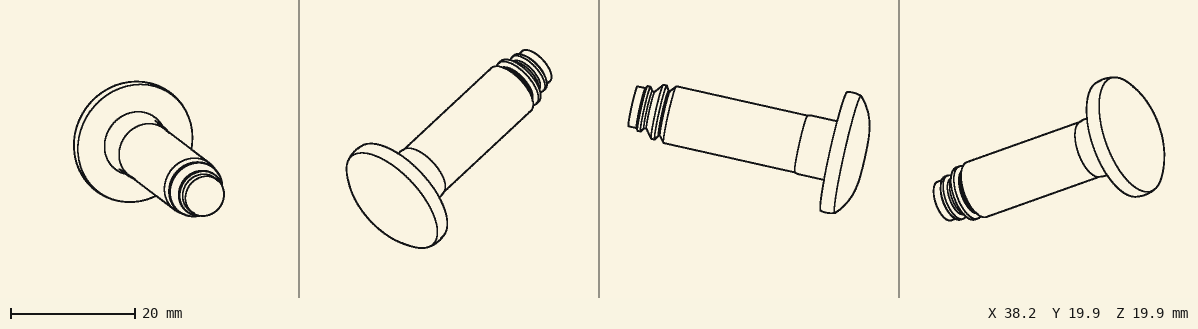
import cadquery as cq

length = 38.15
head_diameter = 19.88
head_height = 4.9
crown_diameter = 7.15
dome_height = 2.55
dome_edge_diameter = 19.38
dome_mid = (0.88, 7.32)
rim_mid_x = 3.75
rim_back_diameter = 19.65

collar_diameter = 9.73
fillet_diameter = 10.53
fillet_end = 5.65
fillet_mid = (5.23, 4.95)
collar_end = 9.6
shank_diameter = 9.42
shank_start = 10.3
collar_round_mid = (10.0, 4.8)

shank_end = 32.0
groove_1_diameter = 7.45
groove_1_start = 32.8
groove_1_end = 33.08
ring_1_diameter = 8.95
ring_1_start = 33.55
ring_1_end = 34.1
groove_2_diameter = 6.18
groove_2_start = 35.2
groove_2_end = 35.65
ring_2_diameter = 7.45
ring_2_start = 36.05
ring_2_end = 36.55
tip_diameter = 6.65
tip_start = 36.8

profile = (
    cq.Workplane("XY")
    .lineTo(0, crown_diameter / 2)
    .threePointArc(dome_mid, (dome_height, dome_edge_diameter / 2))
    .threePointArc((rim_mid_x, head_diameter / 2), (head_height, rim_back_diameter / 2))
    .lineTo(head_height, fillet_diameter / 2)
    .threePointArc(fillet_mid, (fillet_end, collar_diameter / 2))
    .lineTo(collar_end, collar_diameter / 2)
    .threePointArc(collar_round_mid, (shank_start, shank_diameter / 2))
    .lineTo(shank_end, shank_diameter / 2)
    .lineTo(groove_1_start, groove_1_diameter / 2)
    .lineTo(groove_1_end, groove_1_diameter / 2)
    .lineTo(ring_1_start, ring_1_diameter / 2)
    .lineTo(ring_1_end, ring_1_diameter / 2)
    .lineTo(groove_2_start, groove_2_diameter / 2)
    .lineTo(groove_2_end, groove_2_diameter / 2)
    .lineTo(ring_2_start, ring_2_diameter / 2)
    .lineTo(ring_2_end, ring_2_diameter / 2)
    .lineTo(tip_start, tip_diameter / 2)
    .lineTo(length, tip_diameter / 2)
    .lineTo(length, 0)
    .close()
)

result = profile.revolve(360, (0, 0, 0), (1, 0, 0))